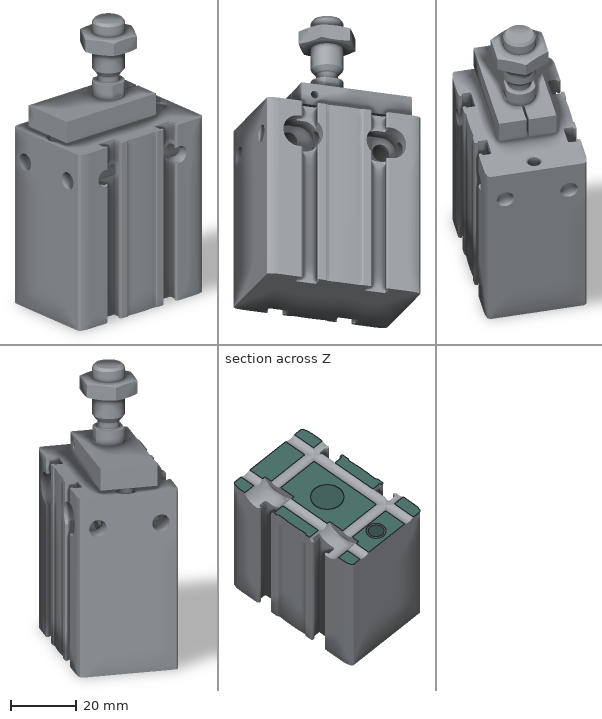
import cadquery as cq
import math


body_width = 32.0
body_depth = 50.0
body_height = 58.0
corner_flat_inset = 1.1
corner_bevel_rise = 0.6
corner_curve_inset = 0.5
corner_curve_start = 21.5
recess_depth = 0.2
recess_half_width = 6.15
shoulder_drop = 0.3
shoulder_half_width = 5.65
floor_half_width = 5.0
floor_edge_drop = 0.4

slot_depth = 4.0
slot_lip = 1.0
slot_inner = 8.0
slot_outer = 14.6
slot_mouth_inner = 8.7
slot_mouth_outer = 13.7
slot_corner_radius = 0.6
mouth_outer_chamfer = 0.45
mouth_inner_chamfer = 0.25

mount_hole_dia = 5.5
mount_hole_z = body_height - 10.0
side_hole_y = 15.0
front_hole_x = 10.0
pocket_dia = 10.0
pocket_offset = 2.9
pocket_depth = 9.0

port_dia = 4.13
port_mouth_dia = 5.0
port_depth = 8.0
port_tip_angle = 118.0

rod_dia = 10.0
rod_top = 92.0
rod_tip_dia = 8.65
rod_tip_rise = 0.9
neck_dia = 6.67
neck_bottom = 71.75
neck_top = 74.25
thread_start = 75.85
neck_fillet = 0.35
flats_width = 9.0
flats_bottom = 67.5
guide_dia = 5.0
guide_hole_dia = 6.0
guide_recess_dia = 7.0
guide_recess_depth = 0.3
rod_axis_offset = 20.5
rod_insertion = 20.0

plate_width = 18.0
plate_thickness = 7.0
plate_bottom = body_height + 2.0
plate_top = plate_bottom + plate_thickness
plate_back = 11.5
plate_front = -24.5
clamp_slit = 0.8
clamp_hole_dia = 2.46
clamp_hole_y = 7.25
clamp_hole_depth = 12.0
guide_socket_depth = 4.0

nut_flats = 16.0
nut_thickness = 5.0
nut_bottom = 82.78
nut_face_dia = 14.7
nut_chamfer_angle = 15.0


def rod_cylinder(diameter, bottom, top, y=0.0):
    """Upright cylinder between two heights."""
    return cq.Workplane("XY", origin=(0, y, bottom)).circle(diameter / 2).extrude(top - bottom)


def tangent_radius(run, drop):
    """Radius of an arc that leaves a straight side tangentially and falls by drop over run."""
    return (run**2 + drop**2) / (2 * drop)


def body_block():
    half_w = body_width / 2
    half_d = body_depth / 2
    bevel_x = half_w - corner_curve_inset
    bevel_y = half_d - corner_bevel_rise
    recess_x = half_w - recess_depth
    shoulder_x = half_w - shoulder_drop
    floor_edge_x = half_w - floor_edge_drop
    curve_rise = bevel_y - corner_curve_start
    curve_radius = tangent_radius(curve_rise, corner_curve_inset)
    shoulder_radius = tangent_radius(recess_half_width - shoulder_half_width, shoulder_drop)
    return (
        cq.Workplane("XY")
        .moveTo(0, -half_d)
        .lineTo(half_w - corner_flat_inset, -half_d)
        .lineTo(bevel_x, -bevel_y)
        .radiusArc((half_w, -corner_curve_start), -curve_radius)
        .lineTo(half_w, -recess_half_width)
        .radiusArc((shoulder_x, -shoulder_half_width), -shoulder_radius)
        .lineTo(floor_edge_x, -floor_half_width)
        .threePointArc((recess_x, 0), (floor_edge_x, floor_half_width))
        .lineTo(shoulder_x, shoulder_half_width)
        .radiusArc((half_w, recess_half_width), -shoulder_radius)
        .lineTo(half_w, corner_curve_start)
        .radiusArc((bevel_x, bevel_y), -curve_radius)
        .lineTo(half_w - corner_flat_inset, half_d)
        .lineTo(0, half_d)
        .mirrorY()
        .extrude(body_height)
    )


def sensor_slot(x_side, y_side):
    """T-slot cutter for one of the four slots."""
    face_x = body_width / 2
    mouth = (
        cq.Workplane("XY")
        .polyline([
            (face_x - slot_depth, slot_mouth_inner),
            (face_x - mouth_inner_chamfer, slot_mouth_inner),
            (face_x, slot_mouth_inner - mouth_inner_chamfer),
            (face_x, slot_mouth_outer + mouth_outer_chamfer),
            (face_x - mouth_outer_chamfer, slot_mouth_outer),
            (face_x - slot_depth, slot_mouth_outer),
        ])
        .close()
        .extrude(body_height)
    )
    chamber = cq.Workplane("XY").box(
        slot_depth - slot_lip, slot_outer - slot_inner, body_height, centered=False
    ).edges("|Z and >Y").fillet(slot_corner_radius).translate((face_x - slot_depth, slot_inner, 0))
    slot = mouth.union(chamber)
    if x_side < 0:
        slot = slot.mirror("YZ")
    if y_side < 0:
        slot = slot.mirror("XZ")
    return slot


def side_pocket(y_side):
    """Elongated counterbore on the -X side."""
    return (
        cq.Workplane("YZ", origin=(-body_width / 2, 0, 0))
        .center(y_side * (side_hole_y - pocket_offset / 2), mount_hole_z)
        .slot2D(pocket_dia + pocket_offset, pocket_dia)
        .extrude(pocket_depth)
    )


def air_port():
    mouth_r = port_mouth_dia / 2
    hole_r = port_dia / 2
    mouth_end = body_height - (mouth_r - hole_r)
    hole_end = body_height - port_depth
    tip = hole_end - hole_r / math.tan(math.radians(port_tip_angle / 2))
    return (
        cq.Workplane("XZ")
        .polyline([
            (0, body_height), (mouth_r, body_height), (hole_r, mouth_end), (hole_r, hole_end), (0, tip),
        ])
        .close()
        .revolve(360, (0, 0, 0), (0, 1, 0))
        .translate((0, rod_axis_offset, 0))
    )


def make_body():
    body = body_block()
    for y_side in (-1, 1):
        for x_side in (-1, 1):
            body = body.cut(sensor_slot(x_side, y_side))
        body = body.cut(side_pocket(y_side))
    side_holes = (
        cq.Workplane("YZ", origin=(0, 0, mount_hole_z))
        .pushPoints([(-side_hole_y, 0), (side_hole_y, 0)])
        .circle(mount_hole_dia / 2)
        .extrude(body_width, both=True)
    )
    front_holes = (
        cq.Workplane("XZ", origin=(0, 0, mount_hole_z))
        .pushPoints([(-front_hole_x, 0), (front_hole_x, 0)])
        .circle(mount_hole_dia / 2)
        .extrude(body_depth, both=True)
    )
    rod_end = body_height - rod_insertion
    body = body.cut(side_holes).cut(front_holes).cut(air_port())
    body = body.cut(rod_cylinder(rod_dia, rod_end, body_height))
    body = body.cut(rod_cylinder(guide_hole_dia, rod_end, body_height, -rod_axis_offset))
    return body.cut(
        rod_cylinder(guide_recess_dia, body_height - guide_recess_depth, body_height, -rod_axis_offset)
    )


def make_piston_rod():
    rod_r = rod_dia / 2
    neck_r = neck_dia / 2
    rod = (
        cq.Workplane("XZ")
        .moveTo(0, body_height - rod_insertion)
        .lineTo(rod_r, body_height - rod_insertion)
        .lineTo(rod_r, neck_bottom)
        .lineTo(neck_r + neck_fillet, neck_bottom)
        .radiusArc((neck_r, neck_bottom + neck_fillet), neck_fillet)
        .lineTo(neck_r, neck_top - neck_fillet)
        .radiusArc((neck_r + neck_fillet, neck_top), neck_fillet)
        .lineTo(rod_r, thread_start)
        .lineTo(rod_r, rod_top - rod_tip_rise)
        .lineTo(rod_tip_dia / 2, rod_top)
        .lineTo(0, rod_top)
        .close()
        .revolve(360, (0, 0, 0), (0, 1, 0))
    )
    flats_height = neck_bottom - flats_bottom
    ring = cq.Workplane("XY", origin=(0, 0, flats_bottom)).rect(2 * rod_dia, 2 * rod_dia).rect(
        flats_width, rod_dia
    ).extrude(flats_height)
    return rod.cut(ring)


def make_guide_rod():
    return rod_cylinder(
        guide_dia, body_height - rod_insertion, plate_bottom + guide_socket_depth, -rod_axis_offset
    )


def make_plate():
    plate = cq.Workplane("XY").box(
        plate_width, plate_back - plate_front, plate_thickness, centered=False
    ).translate((-plate_width / 2, plate_front, plate_bottom))
    slit = cq.Workplane("XY").box(clamp_slit, plate_back, plate_thickness, centered=False).translate(
        (-clamp_slit / 2, 0, plate_bottom)
    )
    clamp_hole = (
        cq.Workplane("YZ", origin=(-plate_width / 2, clamp_hole_y, plate_bottom + plate_thickness / 2))
        .circle(clamp_hole_dia / 2)
        .extrude(clamp_hole_depth)
    )
    guide_socket = rod_cylinder(
        guide_dia, plate_bottom, plate_bottom + guide_socket_depth, -rod_axis_offset
    )
    rod_hole = rod_cylinder(rod_dia, plate_bottom, plate_top)
    return plate.cut(slit).cut(clamp_hole).cut(guide_socket).cut(rod_hole)


def make_nut():
    hexagon_half_angle = 30.0
    corner_dia = nut_flats / math.cos(math.radians(hexagon_half_angle))
    hexagon = (
        cq.Workplane("XY", origin=(0, 0, nut_bottom))
        .transformed(rotate=(0, 0, hexagon_half_angle))
        .polygon(6, corner_dia)
        .extrude(nut_thickness)
    )
    face_r = nut_face_dia / 2
    outer_r = corner_dia / 2
    drop = (outer_r - face_r) * math.tan(math.radians(nut_chamfer_angle))
    nut_top = nut_bottom + nut_thickness
    envelope = (
        cq.Workplane("XZ")
        .polyline([
            (0, nut_bottom), (face_r, nut_bottom), (outer_r, nut_bottom + drop),
            (outer_r, nut_top - drop), (face_r, nut_top), (0, nut_top),
        ])
        .close()
        .revolve(360, (0, 0, 0), (0, 1, 0))
    )
    return hexagon.intersect(envelope).cut(rod_cylinder(rod_dia, nut_bottom, nut_top))


body = make_body()
piston_rod = make_piston_rod()
guide_rod = make_guide_rod()
plate = make_plate()
nut = make_nut()

result = cq.Compound.makeCompound([body.val(), piston_rod.val(), guide_rod.val(), plate.val(), nut.val()])